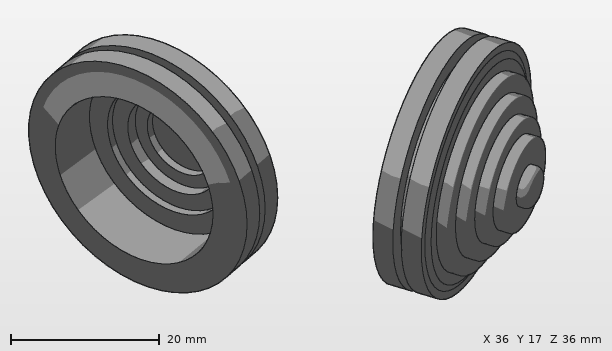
import cadquery as cq


rim_radius = 18.0
groove_radius = 15.45
flange_width = 2.95
groove_width = 1.25

front_cone_depth = 0.85
front_cone_radius = 16.3
bore_radius = 13.0

shoulder_height = 0.45
shoulder_base_radius = 16.85
shoulder_top_radius = 15.85

step_height = 1.7
step_radii = [14.15, 11.6, 9.07, 6.8]
step_edge_round = 0.15
knob_radius = 3.0
knob_round = 0.97
total_length = 17.0

cavity_steps = [
    (bore_radius, 8.0),
    (10.0, 9.15),
    (7.5, 10.87),
    (5.5, 12.1),
]

front_flange_end = front_cone_depth + flange_width
rear_flange_start = front_flange_end + groove_width
rear_flange_end = rear_flange_start + flange_width
shoulder_end = rear_flange_end + shoulder_height


def disc(radius, start, end):
    """Solid cylinder on the Y axis between two positions."""
    circle = cq.Workplane("XZ", origin=(0, start, 0)).circle(radius)
    return circle.extrude(start - end)


def make_rim():
    """Two flanges with a groove between them and sloped front and rear faces."""
    profile = [
        (0, 0),
        (bore_radius, 0),
        (front_cone_radius, front_cone_depth),
        (rim_radius, front_cone_depth),
        (rim_radius, front_flange_end),
        (groove_radius, front_flange_end),
        (groove_radius, rear_flange_start),
        (rim_radius, rear_flange_start),
        (rim_radius, rear_flange_end),
        (shoulder_base_radius, rear_flange_end),
        (shoulder_top_radius, shoulder_end),
        (0, shoulder_end),
    ]
    return cq.Workplane("XY").polyline(profile).close().revolve(360, (0, 0, 0), (0, 1, 0))


def make_cap():
    """Shrinking round steps with softened edges, ending in a rounded knob."""
    cap = None
    start = shoulder_end
    for radius in step_radii:
        step = disc(radius, start, start + step_height).faces(">Y").edges().fillet(step_edge_round)
        cap = step if cap is None else cap.union(step)
        start += step_height
    knob = disc(knob_radius, start, total_length).faces(">Y").edges().fillet(knob_round)
    return cap.union(knob)


def make_cavity():
    """Stepped bore that narrows towards the knob."""
    cavity = None
    start = 0
    for radius, floor in cavity_steps:
        section = disc(radius, start, floor)
        cavity = section if cavity is None else cavity.union(section)
        start = floor
    return cavity


result = make_rim().union(make_cap()).cut(make_cavity())